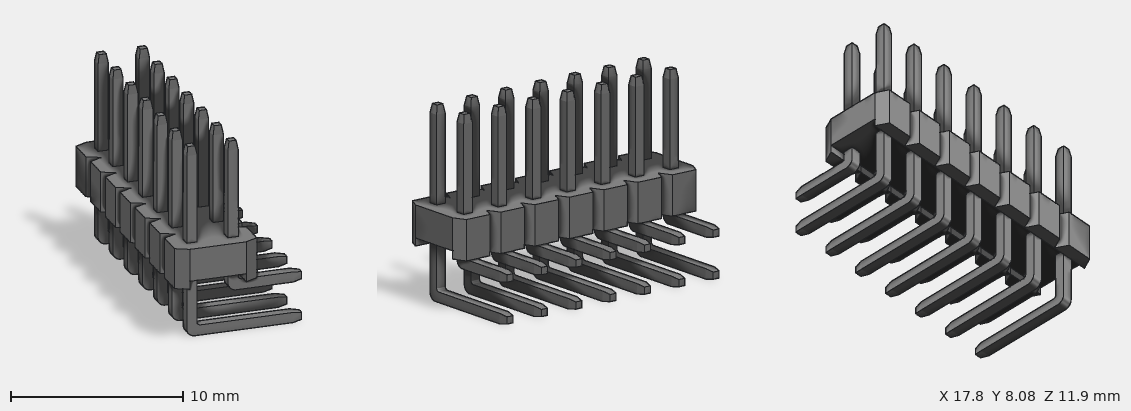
import cadquery as cq

PITCH = 2.54
COLUMNS = 7

LENGTH = COLUMNS * PITCH
WIDTH = 2 * PITCH
HEIGHT = 2.5
NOTCH_HALF_WIDTH = 0.4
NOTCH_DEPTH = 0.8
CHANNEL_HEIGHT = 0.5

PIN_SIZE = 0.64
TIP_SIZE = 0.44
TIP_LENGTH = 0.56
POST_HEIGHT = 6.0
TAIL_REACH = 3.0
TAIL_CLEARANCE = 0.5
BEND_INNER_RADIUS = 0.2
BEND_OUTER_RADIUS = 0.5

POST_TOP = HEIGHT + POST_HEIGHT
TAIL_END = WIDTH / 2 + TAIL_REACH


def make_notch(x, side):
    """V-shaped vertical groove at x in the long face on the given side (+1 or -1 in Y)."""
    face_y = side * WIDTH / 2
    outline = [
        (x - NOTCH_HALF_WIDTH, face_y),
        (x + NOTCH_HALF_WIDTH, face_y),
        (x, face_y - side * NOTCH_DEPTH),
    ]
    return cq.Workplane("XY").polyline(outline).close().extrude(HEIGHT)


def make_housing():
    """Block with a V groove at each column boundary and a channel along its underside."""
    housing = cq.Workplane("XY").box(LENGTH, WIDTH, HEIGHT, centered=(True, True, False))
    for boundary in range(COLUMNS + 1):
        x = boundary * PITCH - LENGTH / 2
        for side in (-1, 1):
            housing = housing.cut(make_notch(x, side))
    channel_width = WIDTH - 2 * NOTCH_DEPTH
    channel = cq.Workplane("XY").box(LENGTH, channel_width, CHANNEL_HEIGHT, centered=(True, True, False))
    return housing.cut(channel)


def make_tip(base_center, direction):
    """Square tapered tip that starts at base_center and points along direction."""
    base = cq.Workplane(cq.Plane(origin=base_center, xDir=(1, 0, 0), normal=direction))
    return base.rect(PIN_SIZE, PIN_SIZE).workplane(offset=TIP_LENGTH).rect(TIP_SIZE, TIP_SIZE).loft()


def make_pin(row_y, tail_z):
    """Bent square pin at x = 0: a post on row_y and a tail on tail_z, each with a tapered tip."""
    half = PIN_SIZE / 2
    post_shoulder = POST_TOP - TIP_LENGTH
    tail_shoulder = TAIL_END - TIP_LENGTH
    inner_corner = (row_y + half, tail_z + half)
    outer_corner = (row_y - half, tail_z - half)
    shank = (
        cq.Workplane("YZ")
        .moveTo(row_y - half, post_shoulder)
        .lineTo(row_y + half, post_shoulder)
        .lineTo(*inner_corner)
        .lineTo(tail_shoulder, tail_z + half)
        .lineTo(tail_shoulder, tail_z - half)
        .lineTo(*outer_corner)
        .close()
        .extrude(half, both=True)
    )
    shank = shank.edges(cq.NearestToPointSelector((0, *inner_corner))).fillet(BEND_INNER_RADIUS)
    shank = shank.edges(cq.NearestToPointSelector((0, *outer_corner))).fillet(BEND_OUTER_RADIUS)
    post_tip = make_tip((0, row_y, post_shoulder), (0, 0, 1))
    tail_tip = make_tip((0, tail_shoulder, tail_z), (0, 1, 0))
    return shank.union(post_tip).union(tail_tip)


upper_pin = make_pin(PITCH / 2, -TAIL_CLEARANCE)
lower_pin = make_pin(-PITCH / 2, -TAIL_CLEARANCE - PITCH)

result = make_housing()
for column in range(COLUMNS):
    column_x = (column + 0.5) * PITCH - LENGTH / 2
    for pin in (upper_pin, lower_pin):
        result = result.union(pin.translate((column_x, 0, 0)))